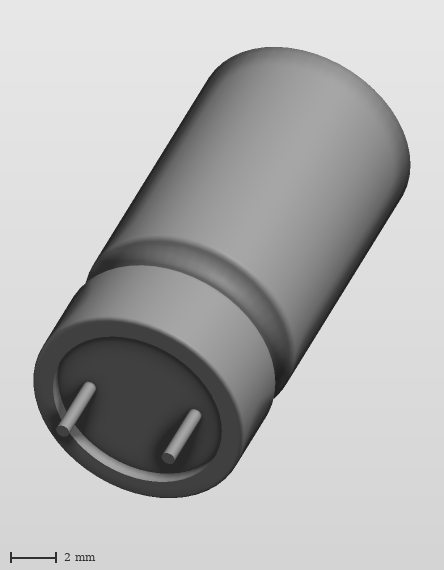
import cadquery as cq
import math

overall_length = 22.6
can_diameter = 10.0
can_length = 20.0
end_fillet = 0.2

groove_from_base = 5.0
groove_radius = 1.0
neck_radius = 4.25
lip_radius = 0.36

recess_diameter = 8.0
recess_depth = 0.6

lead_diameter = 0.6
lead_pitch = can_diameter / 2
lead_length = overall_length - can_length + recess_depth

can_radius = can_diameter / 2


def make_can():
    """Filleted cylinder with its base at Y = 0."""
    can = cq.Workplane("XZ").circle(can_radius).extrude(-can_length)
    return can.faces("<Y or >Y").edges().fillet(end_fillet)


def make_crimp_ring():
    """Ring to remove: a round groove tangent to a rounded lip on each side."""
    groove_center_radius = neck_radius + groove_radius
    lip_center_radius = can_radius - lip_radius
    center_distance = groove_radius + lip_radius
    radial_offset = groove_center_radius - lip_center_radius
    half_width = math.sqrt(center_distance**2 - radial_offset**2)

    tangent_fraction = groove_radius / center_distance
    tangent_radius = groove_center_radius - radial_offset * tangent_fraction
    tangent_offset = half_width * tangent_fraction

    lip_mid_angle = math.atan2(half_width, radial_offset) / 2
    lip_mid_radius = lip_center_radius + lip_radius * math.cos(lip_mid_angle)
    lip_mid_offset = half_width - lip_radius * math.sin(lip_mid_angle)

    outside_radius = can_radius + lip_radius
    y = groove_from_base
    return (
        cq.Workplane("XY")
        .moveTo(can_radius, y - half_width)
        .threePointArc((lip_mid_radius, y - lip_mid_offset), (tangent_radius, y - tangent_offset))
        .threePointArc((neck_radius, y), (tangent_radius, y + tangent_offset))
        .threePointArc((lip_mid_radius, y + lip_mid_offset), (can_radius, y + half_width))
        .lineTo(outside_radius, y + half_width)
        .lineTo(outside_radius, y - half_width)
        .close()
        .revolve(360, (0, 0, 0), (0, 1, 0))
    )


def make_recess():
    return cq.Workplane("XZ").circle(recess_diameter / 2).extrude(-recess_depth)


def make_leads():
    """Two straight leads standing on the recess floor."""
    return (
        cq.Workplane("XZ", origin=(0, recess_depth, 0))
        .pushPoints([(-lead_pitch / 2, 0), (lead_pitch / 2, 0)])
        .circle(lead_diameter / 2)
        .extrude(lead_length)
    )


result = make_can().cut(make_crimp_ring()).cut(make_recess()).union(make_leads())